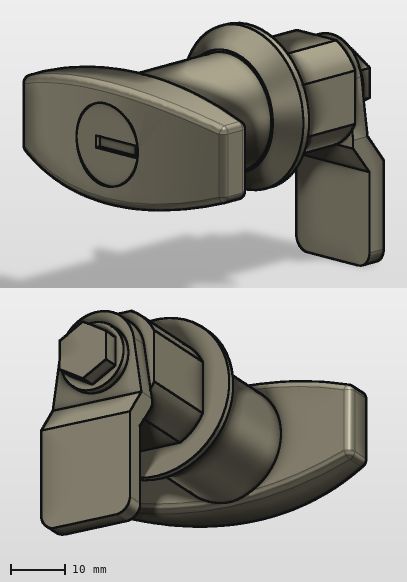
import cadquery as cq
import math


handle_length = 52.3
handle_height = 23.4
handle_back = 11.05
arc_rise = 4.6
handle_fillet = 1.5

recess_radius = 7.9
recess_floor = 0.45
slot_left = -2.9
slot_right = 7.35
slot_height = 2.35
slot_depth = 1.05

shaft_radius = 11.25
across_flats = 20.0
flange_radius = 15.65
cone_front_radius = 11.7
cone_front = 32.4
rim_front = 36.4
rim_back = 37.9
barrel_back = 55.9

cam_thickness = 3.85
cam_offset = 4.3
cam_half_width = 9.5
cam_head_radius = 7.9
cam_head_z = 1.55
cam_shoulder_z = -8.4
cam_front_bend_z = -10.0
blade_rear_z = -13.85
blade_front_z = -15.35
cam_bottom_z = -33.85
cam_corner_radius = 3.0

washer_radius = 6.7
washer_thickness = 1.75
hex_across_flats = 9.9
bolt_back = 65.0


def xz_plane(y):
    """Sketch plane across the lock axis: local X is X, local Y is Z, extruding to the rear."""
    return cq.Workplane(cq.Plane(origin=(0, y, 0), xDir=(1, 0, 0), normal=(0, -1, 0)))


def make_grip():
    half_length = handle_length / 2
    half_height = handle_height / 2
    end_height = half_height - arc_rise
    outline = (
        xz_plane(0)
        .moveTo(-half_length, -end_height)
        .threePointArc((0, -half_height), (half_length, -end_height))
        .lineTo(half_length, end_height)
        .threePointArc((0, half_height), (-half_length, end_height))
        .close()
        .extrude(-handle_back)
    )
    profile = (
        cq.Workplane("XY")
        .moveTo(-half_length, handle_back)
        .lineTo(-half_length, arc_rise)
        .threePointArc((0, 0), (half_length, arc_rise))
        .lineTo(half_length, handle_back)
        .close()
        .extrude(half_height, both=True)
    )
    return outline.intersect(profile).edges().fillet(handle_fillet)


def make_barrel():
    """Turned shaft and conical flange, with four flats cut behind the flange."""
    shaft_start = handle_back / 2
    shaft = xz_plane(shaft_start).circle(shaft_radius).extrude(shaft_start - rim_back)
    flange = (
        cq.Workplane("XY")
        .moveTo(0, cone_front)
        .lineTo(cone_front_radius, cone_front)
        .lineTo(flange_radius, rim_front)
        .lineTo(flange_radius, rim_back)
        .lineTo(0, rim_back)
        .close()
        .revolve(360, (0, 0, 0), (0, 1, 0))
    )
    rear_length = barrel_back - rim_back
    rear = xz_plane(rim_back).circle(shaft_radius).extrude(-rear_length)
    flats = xz_plane(rim_back).rect(across_flats, across_flats).extrude(-rear_length)
    return shaft.union(flange).union(rear.intersect(flats))


def make_lock_body():
    recess = xz_plane(0).circle(recess_radius).extrude(-recess_floor)
    slot = (
        xz_plane(recess_floor)
        .center((slot_left + slot_right) / 2, 0)
        .rect(slot_right - slot_left, slot_height)
        .extrude(-slot_depth)
    )
    return make_grip().union(make_barrel()).cut(recess).cut(slot)


def make_cam():
    """Cranked plate with a round head whose sides run tangent out to the blade width."""
    front = barrel_back
    rear = front + cam_thickness
    side_profile = (
        cq.Workplane("YZ")
        .polyline([
            (front, cam_head_z + cam_head_radius),
            (rear, cam_head_z + cam_head_radius),
            (rear, cam_shoulder_z),
            (front + cam_offset + cam_thickness, blade_rear_z),
            (front + cam_offset + cam_thickness, cam_bottom_z),
            (front + cam_offset, cam_bottom_z),
            (front + cam_offset, blade_front_z),
            (front, cam_front_bend_z),
        ])
        .close()
        .extrude(cam_half_width, both=True)
    )

    shoulder_drop = cam_head_z - cam_shoulder_z
    shoulder_distance = math.hypot(cam_half_width, shoulder_drop)
    tangent_angle = (
        math.acos(cam_head_radius / shoulder_distance)
        - math.atan2(shoulder_drop, cam_half_width)
    )
    tangent_x = cam_head_radius * math.cos(tangent_angle)
    tangent_z = cam_head_z + cam_head_radius * math.sin(tangent_angle)

    face_outline = (
        xz_plane(front)
        .moveTo(-cam_half_width, cam_bottom_z)
        .lineTo(cam_half_width, cam_bottom_z)
        .lineTo(cam_half_width, cam_shoulder_z)
        .lineTo(tangent_x, tangent_z)
        .threePointArc((0, cam_head_z + cam_head_radius), (-tangent_x, tangent_z))
        .lineTo(-cam_half_width, cam_shoulder_z)
        .close()
        .extrude(-(cam_offset + cam_thickness))
    )
    rounded_outline = face_outline.edges("|Y").edges("<Z").fillet(cam_corner_radius)
    return side_profile.intersect(rounded_outline)


def make_bolt():
    """Hexagon head with a round washer face, seated on the rear of the cam."""
    washer_front = barrel_back + cam_thickness
    washer_back = washer_front + washer_thickness
    washer = xz_plane(washer_front).circle(washer_radius).extrude(-washer_thickness)
    corner_diameter = hex_across_flats / math.cos(math.radians(30))
    head = (
        xz_plane(washer_back)
        .transformed(rotate=(0, 0, 90))
        .polygon(6, corner_diameter)
        .extrude(washer_back - bolt_back)
    )
    return washer.union(head)


lock_body = make_lock_body()
cam = make_cam()
bolt = make_bolt()

result = cq.Compound.makeCompound([lock_body.val(), cam.val(), bolt.val()])